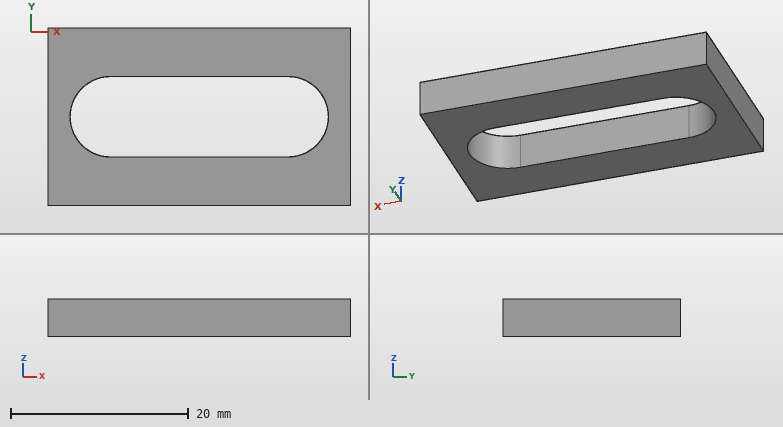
import cadquery as cq

plate_length = 34.0
plate_width = 20.0
plate_thickness = 4.2

slot_length = 29.0
slot_width = 9.0

plate = cq.Workplane("XY").box(plate_length, plate_width, plate_thickness)

result = plate.faces(">Z").workplane().slot2D(slot_length, slot_width).cutThruAll()